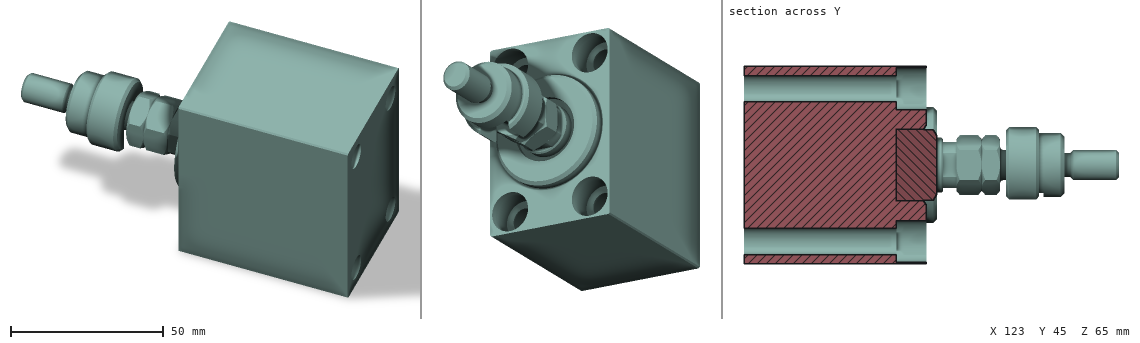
import cadquery as cq
import math


OVERALL_LENGTH = 123.0
BLOCK_LENGTH = 59.9
BLOCK_WIDTH = 45.0
BLOCK_HEIGHT = 65.0
BLOCK_EDGE_CHAMFER = 0.5
BLOCK_FRONT_X = OVERALL_LENGTH - BLOCK_LENGTH

BOLT_SPACING_Y = 30.0
BOLT_SPACING_Z = 50.0
BOLT_HOLE_DIAMETER = 8.5
COUNTERBORE_DIAMETER = 13.5
COUNTERBORE_DEPTH = 9.8

CAP_DIAMETER = 38.0
CAP_PROTRUSION = 3.3
CAP_SEAT_DEPTH = 9.8
CAP_CHAMFER = 1.1
SEAT_CHAMFER = 1.0
WIPER_RECESS_DIAMETER = 22.0
WIPER_RECESS_DEPTH = 2.0
CAP_FRONT_X = BLOCK_FRONT_X - CAP_PROTRUSION
CAP_BACK_X = BLOCK_FRONT_X + CAP_SEAT_DEPTH

ROD_DIAMETER = 18.0
ROD_END_DIAMETER = 17.0
ROD_SHOULDER_X = 57.7
ROD_ACROSS_FLATS = 15.0

TIP_DIAMETER = 10.0
TIP_LENGTH = 16.0
TIP_CHAMFER = 1.0
NECK_DIAMETER = 8.0
SLEEVE_START_X = 18.0
SLEEVE_DIAMETER = 21.0
SLEEVE_CHAMFER = 1.2
RING_START_X = 26.2
RING_END_X = 37.0
RING_DIAMETER = 25.0
RING_CHAMFER = 1.0
SLOT_START_X = 24.7
SLOT_WIDTH = 10.6

STUD_DIAMETER = 10.0
STUD_FILLET = 1.0
HEX_ACROSS_FLATS = 17.0
HEX_FACE_DIAMETER = 16.9
HEX_CHAMFER_ANGLE = 40.0
HEX_HALF_SECTOR = 30.0
HEX_START_X = 39.0
THIN_HEX_LENGTH = 6.0
THICK_HEX_LENGTH = 8.4
THICK_HEX_START_X = HEX_START_X + THIN_HEX_LENGTH
HEX_END_X = THICK_HEX_START_X + THICK_HEX_LENGTH


def cylinder(start_x, end_x, diameter):
    """Cylinder on the X axis between two stations."""
    return cq.Workplane("YZ", origin=(start_x, 0, 0)).circle(diameter / 2).extrude(end_x - start_x)


def block(start_x, end_x, width, height):
    """Rectangular bar centred on the X axis between two stations."""
    return cq.Workplane("YZ", origin=(start_x, 0, 0)).rect(width, height).extrude(end_x - start_x)


def make_housing():
    body = block(BLOCK_FRONT_X, OVERALL_LENGTH, BLOCK_WIDTH, BLOCK_HEIGHT)
    body = body.edges("|X").chamfer(BLOCK_EDGE_CHAMFER)
    body = (
        body.faces("<X").workplane(centerOption="CenterOfBoundBox")
        .rect(BOLT_SPACING_Y, BOLT_SPACING_Z, forConstruction=True).vertices()
        .cboreHole(BOLT_HOLE_DIAMETER, COUNTERBORE_DIAMETER, COUNTERBORE_DEPTH)
    )
    seat = cylinder(BLOCK_FRONT_X, CAP_BACK_X, CAP_DIAMETER)
    seat_radius = CAP_DIAMETER / 2
    mouth = cq.Workplane(cq.Solid.makeCone(
        seat_radius + SEAT_CHAMFER, seat_radius, SEAT_CHAMFER,
        pnt=cq.Vector(BLOCK_FRONT_X, 0, 0), dir=cq.Vector(1, 0, 0),
    ))
    return body.cut(seat).cut(mouth)


def make_cap():
    body = cylinder(CAP_FRONT_X, CAP_BACK_X, CAP_DIAMETER).faces("<X").chamfer(CAP_CHAMFER)
    recess = cylinder(CAP_FRONT_X, CAP_FRONT_X + WIPER_RECESS_DEPTH, WIPER_RECESS_DIAMETER)
    bore = cylinder(CAP_FRONT_X, CAP_BACK_X, ROD_DIAMETER)
    return body.cut(recess).cut(bore)


def make_rod():
    shoulder_chamfer = (ROD_DIAMETER - ROD_END_DIAMETER) / 2
    body = cylinder(ROD_SHOULDER_X, CAP_BACK_X, ROD_DIAMETER).faces("<X").chamfer(shoulder_chamfer)
    flats = block(HEX_END_X, ROD_SHOULDER_X, ROD_ACROSS_FLATS, ROD_ACROSS_FLATS)
    wrench_end = cylinder(HEX_END_X, ROD_SHOULDER_X, ROD_END_DIAMETER).intersect(flats)
    return body.union(wrench_end)


def make_coupling():
    tip = cylinder(0, TIP_LENGTH, TIP_DIAMETER).faces("<X or >X").chamfer(TIP_CHAMFER)
    neck = cylinder(TIP_LENGTH, SLEEVE_START_X, NECK_DIAMETER)
    sleeve = cylinder(SLEEVE_START_X, RING_START_X, SLEEVE_DIAMETER).faces("<X").chamfer(SLEEVE_CHAMFER)
    ring = cylinder(RING_START_X, RING_END_X, RING_DIAMETER).faces("<X or >X").chamfer(RING_CHAMFER)
    slot_round = cylinder(SLOT_START_X, RING_END_X, SLOT_WIDTH)
    slot_opening = block(SLOT_START_X, RING_END_X, SLOT_WIDTH, RING_DIAMETER)
    slot_opening = slot_opening.translate((0, 0, -RING_DIAMETER / 2))
    return tip.union(neck).union(sleeve).union(ring).cut(slot_round).cut(slot_opening)


def make_hexagon(start_x, length):
    """Hexagon with corners up and down, both ends chamfered like a nut."""
    corner_diameter = HEX_ACROSS_FLATS / math.cos(math.radians(HEX_HALF_SECTOR))
    corner_height = (corner_diameter - HEX_FACE_DIAMETER) / 2
    chamfer_length = corner_height * math.tan(math.radians(HEX_CHAMFER_ANGLE))
    end_x = start_x + length
    prism = (
        cq.Workplane("YZ", origin=(start_x, 0, 0))
        .polygon(6, corner_diameter).extrude(length)
        .rotate((0, 0, 0), (1, 0, 0), HEX_HALF_SECTOR)
    )
    envelope = (
        cq.Workplane("XY")
        .moveTo(start_x, 0)
        .lineTo(start_x, HEX_FACE_DIAMETER / 2)
        .lineTo(start_x + chamfer_length, corner_diameter / 2)
        .lineTo(end_x - chamfer_length, corner_diameter / 2)
        .lineTo(end_x, HEX_FACE_DIAMETER / 2)
        .lineTo(end_x, 0)
        .close()
        .revolve(360, (0, 0, 0), (1, 0, 0))
    )
    return prism.intersect(envelope)


def make_stud():
    radius = STUD_DIAMETER / 2
    fillet_start = HEX_START_X - STUD_FILLET
    fillet_middle = STUD_FILLET * math.sin(math.radians(45))
    shank = (
        cq.Workplane("XY")
        .moveTo(SLOT_START_X, 0)
        .lineTo(SLOT_START_X, radius)
        .lineTo(fillet_start, radius)
        .threePointArc(
            (fillet_start + fillet_middle, radius + STUD_FILLET - fillet_middle),
            (HEX_START_X, radius + STUD_FILLET),
        )
        .lineTo(HEX_START_X, 0)
        .close()
        .revolve(360, (0, 0, 0), (1, 0, 0))
    )
    thin_hex = make_hexagon(HEX_START_X, THIN_HEX_LENGTH)
    thick_hex = make_hexagon(THICK_HEX_START_X, THICK_HEX_LENGTH)
    return shank.union(thin_hex).union(thick_hex)


housing = make_housing()
cap = make_cap()
rod = make_rod()
coupling = make_coupling()
stud = make_stud()

result = cq.Compound.makeCompound(
    [housing.val(), cap.val(), rod.val(), coupling.val(), stud.val()]
)